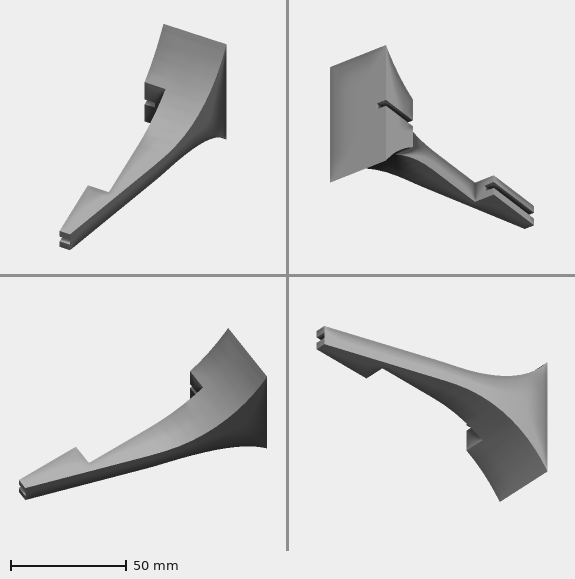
import cadquery as cq

length = 110.0
root_depth = 30.0
tip_depth = 5.0
root_width = 60.0
arm_width = 10.0

taper_length = 80.0
back_radius = 196.0

flare_length = 20.0
flare_radius = 60.0

recess_depth = 10.0
tip_pad_length = 30.0
root_pad_length = 20.0

groove_width = 3.0
groove_depth = 5.0


def side_body():
    """Depth outline in XY, extruded to the root width, with a rounded back."""
    recess_end = length - root_pad_length
    outline = [
        (0, 0),
        (tip_depth, 0),
        (root_depth, taper_length),
        (root_depth, length),
        (0, length),
        (0, recess_end),
        (recess_depth, recess_end),
        (recess_depth, tip_pad_length),
        (0, tip_pad_length),
    ]
    block = cq.Workplane("XY").polyline(outline).close().extrude(root_width / 2, both=True)
    back_corner = cq.selectors.NearestToPointSelector((root_depth, taper_length, 0))
    return block.edges(back_corner).fillet(back_radius)


def width_body():
    """Width outline in YZ, extruded to the root depth, with rounded flares."""
    half_arm = arm_width / 2
    half_root = root_width / 2
    flare_start = length - flare_length
    outline = [
        (0, -half_arm),
        (flare_start, -half_arm),
        (length, -half_root),
        (length, half_root),
        (flare_start, half_arm),
        (0, half_arm),
    ]
    block = cq.Workplane("YZ").polyline(outline).close().extrude(root_depth)
    for corner_z in (-half_arm, half_arm):
        corner = (root_depth / 2, flare_start, corner_z)
        flare_corner = cq.selectors.NearestToPointSelector(corner)
        block = block.edges(flare_corner).fillet(flare_radius)
    return block


def groove():
    """Full-length slot cut into the mounting side, centred on the width."""
    return cq.Workplane("XY").box(
        groove_depth, length, groove_width, centered=(False, False, True)
    )


result = side_body().intersect(width_body()).cut(groove())